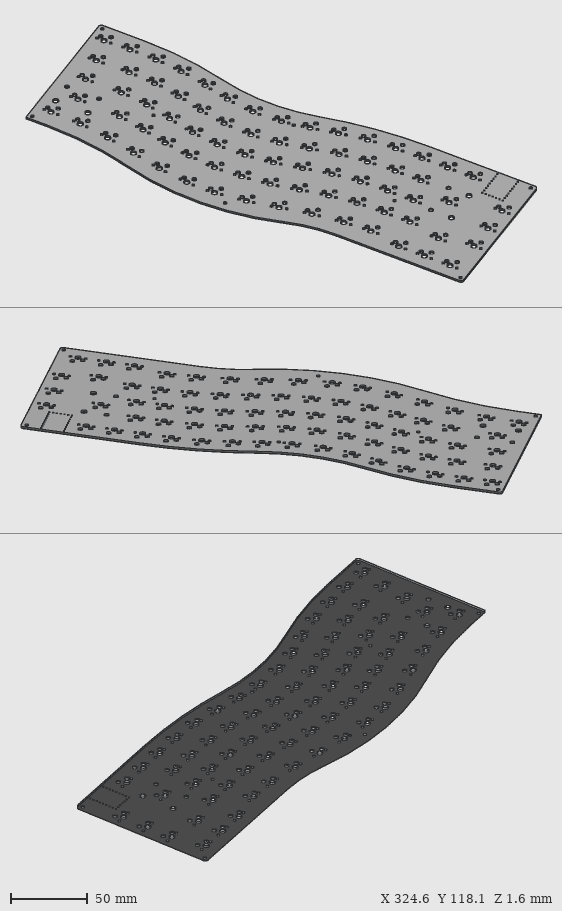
import cadquery as cq
import math

PLATE_LENGTH = 324.65
PLATE_DEPTH = 118.09
PLATE_THICKNESS = 1.6
RIGHT_EDGE_X = PLATE_LENGTH / 2
LEFT_EDGE_X = -RIGHT_EDGE_X
REAR_RIGHT_Y = PLATE_DEPTH / 2
REAR_LEFT_Y = 58.2
FRONT_RIGHT_Y = -43.5
FRONT_LEFT_Y = -42.55
CORNER_RADIUS = 2.0

REAR_WAVE_LEFT_X = -129.2
REAR_WAVE_RIGHT_X = 81.8
REAR_DIP = (-29.7, 45.3)
REAR_DIP_RADIUS = 145.0
FRONT_WAVE_LEFT_X = -146.0
FRONT_WAVE_RIGHT_X = 68.5
FRONT_DIP = (-28.0, -PLATE_DEPTH / 2)
FRONT_DIP_RADIUS = 195.0

KEY_UNIT = 19.05
SWITCH_GRID = 1.27
SWITCH_HOLES = [
    (0, 0, 4.0),
    (-3 * SWITCH_GRID, 2 * SWITCH_GRID, 3.0),
    (2 * SWITCH_GRID, 4 * SWITCH_GRID, 3.0),
    (-4 * SWITCH_GRID, 0, 1.8),
    (4 * SWITCH_GRID, 0, 1.8),
]

LEFT_COLUMN_TOP_Y = 45.9
LEFT_COLUMN_WIDTHS = [1, 1.5, 1.75, 2.25, 1.25]
LEFT_SHIFT_ROW = 3

CURVED_ROWS = [
    {
        "start": (-133.75, 46.48),
        "tilts": [0, -2.5, -7.5, -15.5, -11.5, -3, 8, 12, 13.5, 7.5, 1.5],
    },
    {
        "start": (-123.79, 27.13),
        "tilts": [-2, -4.5, -9.5, -12.5, -7.5, 1.5, 9, 16.5, 10, 5.5],
        "slides": {2: -1.0, 3: -1.0},
    },
    {
        "start": (-119.04, 7.8),
        "tilts": [-2.5, -10, -15, -10, -5, 5, 10, 15, 10, 5],
    },
    {
        "start": (-109.2, -12.77),
        "tilts": [-5, -10, -10, -5, 0, 5, 10, 15, 10, 5],
        "slides": {1: -1.1, 2: -0.6, 3: -0.8, 4: -0.9},
    },
    {
        "start": (-128.19, -31.14),
        "tilts": [-5, -10, -15, -10, -5, 5, 10, 15, 10, 5, 2.5],
        "widths": [1, 1.25, 1, 1.25, 1, 1, 1.25, 1, 1.25, 1, 1],
    },
]

RIGHT_BLOCK_TOP_Y = 47.1
RIGHT_COLUMN_X = RIGHT_EDGE_X - KEY_UNIT / 2
ARROW_ROW = 4.25
FLAT_RUNS = [
    (82.9, 0, 3),
    (73.43, 1, 2),
    (78.22, 2, 2),
    (86.15, 3, 2),
    (RIGHT_COLUMN_X, 1, 1),
    (RIGHT_COLUMN_X, 2, 1),
    (RIGHT_COLUMN_X, 3, 1),
    (RIGHT_COLUMN_X - 1.25 * KEY_UNIT, ARROW_ROW - 1, 1),
    (RIGHT_COLUMN_X - 2.25 * KEY_UNIT, ARROW_ROW, 3),
]
ENTER_X = 118.73
ENTER_ROW = 1.5

STABILIZER_HALF_SPAN = 11.94
STABILIZER_SMALL_OFFSET = 7.0
STABILIZER_SMALL_DIAMETER = 3.05
STABILIZER_LARGE_OFFSET = 8.24
STABILIZER_LARGE_DIAMETER = 3.99

PIN_DIAMETER = 0.85
PIN_PITCH = 2.54
PINS_PER_SIDE = 9
PINS_ACROSS = 7
PIN_FRONT_LEFT = (133.3, 37.02)

SCREW_DIAMETER = 2.2
SCREW_POINTS = [
    (-159.1, 55.25),
    (-159.1, -39.75),
    (158.75, 56.2),
    (159.6, -40.7),
    (-90.25, -1.0),
    (86.65, 3.0),
    (-9.2, -52.0),
    (-5.6, 34.55),
]


def turned(x, y, degrees):
    """The vector (x, y) turned anticlockwise."""
    c = math.cos(math.radians(degrees))
    s = math.sin(math.radians(degrees))
    return (x * c - y * s, x * s + y * c)


def wave_arc(wp, dip, dip_radius, end, toward_end):
    """Two tangent arcs joining a dip's lowest point and the straight edge at `end`.

    Drawn from the dip to `end` if `toward_end` is true, otherwise from `end` to the dip.
    """
    run = end[0] - dip[0]
    rise = end[1] - dip[1]
    radius_sum = (run**2 + rise**2) / (2 * rise)
    crest_radius = radius_sum - dip_radius
    sweep = math.asin(run / radius_sum)

    def on_dip(angle):
        return (dip[0] + dip_radius * math.sin(angle), dip[1] + dip_radius * (1 - math.cos(angle)))

    def on_crest(angle):
        return (end[0] - crest_radius * math.sin(angle), end[1] - crest_radius * (1 - math.cos(angle)))

    if toward_end:
        wp = wp.threePointArc(on_dip(sweep / 2), on_dip(sweep))
        return wp.threePointArc(on_crest(sweep / 2), end)
    wp = wp.threePointArc(on_crest(sweep / 2), on_dip(sweep))
    return wp.threePointArc(on_dip(sweep / 2), dip)


def plate_blank():
    """The plate without holes: straight ends joined by waved edges; the front left corner is sharp."""
    rear_left = (REAR_WAVE_LEFT_X, REAR_LEFT_Y)
    rear_right = (REAR_WAVE_RIGHT_X, REAR_RIGHT_Y)
    front_left = (FRONT_WAVE_LEFT_X, FRONT_LEFT_Y)
    front_right = (FRONT_WAVE_RIGHT_X, FRONT_RIGHT_Y)
    wp = cq.Workplane("XY").moveTo(LEFT_EDGE_X, FRONT_LEFT_Y).lineTo(*front_left)
    wp = wave_arc(wp, FRONT_DIP, FRONT_DIP_RADIUS, front_left, False)
    wp = wave_arc(wp, FRONT_DIP, FRONT_DIP_RADIUS, front_right, True)
    wp = wp.lineTo(RIGHT_EDGE_X, FRONT_RIGHT_Y).lineTo(RIGHT_EDGE_X, REAR_RIGHT_Y).lineTo(*rear_right)
    wp = wave_arc(wp, REAR_DIP, REAR_DIP_RADIUS, rear_right, False)
    wp = wave_arc(wp, REAR_DIP, REAR_DIP_RADIUS, rear_left, True)
    plate = wp.lineTo(LEFT_EDGE_X, REAR_LEFT_Y).close().extrude(PLATE_THICKNESS)
    plate = plate.edges("|Z and >X").fillet(CORNER_RADIUS)
    return plate.edges("|Z and <X").edges(">Y").fillet(CORNER_RADIUS)


def left_column_keys():
    """Flat keys (x, y, tilt) along the left edge."""
    return [
        (LEFT_EDGE_X + width * KEY_UNIT / 2, LEFT_COLUMN_TOP_Y - row * KEY_UNIT, 0)
        for row, width in enumerate(LEFT_COLUMN_WIDTHS)
    ]


def right_row_y(row):
    """Y of a row of the right-hand block."""
    return RIGHT_BLOCK_TOP_Y - row * KEY_UNIT


def flat_right_keys():
    """Flat keys (x, y, tilt) of the right-hand block."""
    keys = [(ENTER_X, right_row_y(ENTER_ROW), 0)]
    for first_x, row, count in FLAT_RUNS:
        keys += [(first_x + i * KEY_UNIT, right_row_y(row), 0) for i in range(count)]
    return keys


def curved_row_keys(start, tilts, widths=None, slides=None):
    """Keys (x, y, tilt) of a row in which each key pivots on a corner of the one before."""
    widths = widths or [1] * len(tilts)
    slides = slides or {}
    x, y = start
    keys = [(x, y, tilts[0])]
    for i in range(1, len(tilts)):
        before, tilt = tilts[i - 1], tilts[i]
        corner_y = math.copysign(KEY_UNIT / 2, tilt - before)
        to_corner = turned(widths[i - 1] * KEY_UNIT / 2, corner_y, before)
        from_corner = turned(widths[i] * KEY_UNIT / 2, -corner_y, tilt)
        slide = turned(0, slides.get(i, 0), (before + tilt) / 2)
        x += to_corner[0] + from_corner[0] + slide[0]
        y += to_corner[1] + from_corner[1] + slide[1]
        keys.append((x, y, tilt))
    return keys


def switch_holes(keys):
    """Holes (x, y, diameter) of the switch footprint at every key."""
    holes = []
    for key_x, key_y, tilt in keys:
        for hole_x, hole_y, diameter in SWITCH_HOLES:
            dx, dy = turned(hole_x, hole_y, tilt)
            holes.append((key_x + dx, key_y + dy, diameter))
    return holes


def stabilizer_holes(x, y, turn):
    """Holes of a stabilizer about a key centre; unturned, its small holes are at the rear."""
    holes = []
    for end in (-STABILIZER_HALF_SPAN, STABILIZER_HALF_SPAN):
        small = turned(end, STABILIZER_SMALL_OFFSET, turn)
        large = turned(end, -STABILIZER_LARGE_OFFSET, turn)
        holes.append((x + small[0], y + small[1], STABILIZER_SMALL_DIAMETER))
        holes.append((x + large[0], y + large[1], STABILIZER_LARGE_DIAMETER))
    return holes


def controller_holes():
    """Pin holes of the controller: two side columns and the row between their front ends."""
    left_x, front_y = PIN_FRONT_LEFT
    points = []
    for column in range(PINS_ACROSS):
        at_side = column in (0, PINS_ACROSS - 1)
        for row in range(PINS_PER_SIDE if at_side else 1):
            points.append((left_x + column * PIN_PITCH, front_y + row * PIN_PITCH))
    return [(x, y, PIN_DIAMETER) for x, y in points]


def drill(plate, holes):
    """Cut all holes (x, y, diameter) through the plate."""
    drills = [
        cq.Solid.makeCylinder(diameter / 2, PLATE_THICKNESS, cq.Vector(x, y, 0))
        for x, y, diameter in holes
    ]
    return plate.cut(cq.Workplane(cq.Compound.makeCompound(drills)))


left_keys = left_column_keys()
keys = left_keys + flat_right_keys()
for curved_row in CURVED_ROWS:
    keys += curved_row_keys(**curved_row)

shift_x, shift_y, shift_tilt = left_keys[LEFT_SHIFT_ROW]
holes = switch_holes(keys)
holes += stabilizer_holes(shift_x, shift_y, shift_tilt)
holes += stabilizer_holes(ENTER_X, right_row_y(ENTER_ROW), 90)
holes += controller_holes()
holes += [(x, y, SCREW_DIAMETER) for x, y in SCREW_POINTS]

result = drill(plate_blank(), holes)